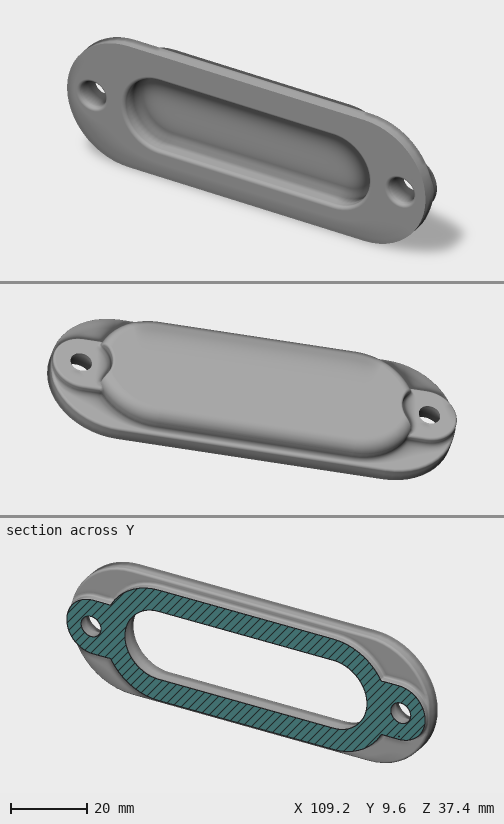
import cadquery as cq

length = 109.2
height = 37.4
plate_thickness = 4.0
small_round = 0.7
base_round = 0.8

body_straight = 53.1
body_radius = 16.6
body_depth = 9.6
boss_depth = 6.5
body_back_round = body_depth - boss_depth

boss_offset = 46.3
boss_radius = 8.2

hole_offset = 47.0
hole_mouth_radius = 4.0
hole_taper = 10.0
hole_mouth_round = 0.9
clearance_radius = 7.9

recess_radius = 10.7
recess_depth = 6.8
recess_floor_round = 2.0
recess_mouth_round = 1.0

SIDES = (-1, 1)
MARGIN = 0.1


def facing_back(y=0.0):
    """Workplane at depth y whose extrusions run toward +Y."""
    return cq.Workplane("XZ", origin=(0, y, 0)).transformed(rotate=(180, 0, 0))


def stadium(straight, radius, depth):
    """Round-ended block with its front face on Y = 0."""
    return facing_back().slot2D(straight + 2 * radius, 2 * radius).extrude(depth)


def edges_within(shape, low, high):
    """Edges lying wholly inside the box between two corners."""
    low = tuple(value - MARGIN for value in low)
    high = tuple(value + MARGIN for value in high)
    return shape.edges(cq.selectors.BoxSelector(low, high, boundingbox=True))


def edges_near_end(shape, side, inner_x, outer_x, front_y, back_y):
    """Edges around one boss, between two distances from the middle and two depths."""
    near_x, far_x = sorted((side * inner_x, side * outer_x))
    return edges_within(shape, (near_x, front_y, -boss_radius), (far_x, back_y, boss_radius))


def make_raised_part():
    """Body with its two bosses, its edges rounded, before it is blended into the plate."""
    base = stadium(body_straight, body_radius, boss_depth)
    base = base.union(stadium(2 * boss_offset, boss_radius, boss_depth))

    body = stadium(body_straight, body_radius, body_depth)
    body = body.faces(">Y").edges().fillet(body_back_round)
    raised = base.union(body)
    for side in SIDES:
        clearance = facing_back(boss_depth).circle(clearance_radius).extrude(body_depth)
        raised = raised.cut(clearance.translate((side * hole_offset, 0, 0)))

    corner_x = body_straight / 2 + (body_radius**2 - boss_radius**2) ** 0.5
    clearance_x = hole_offset - clearance_radius
    boss_end = boss_offset + boss_radius
    sharp = []
    for side in SIDES:
        rims = edges_near_end(raised, side, clearance_x, boss_end, boss_depth, body_depth)
        corners = edges_near_end(raised, side, corner_x, corner_x, 0, boss_depth)
        sharp += rims.vals() + corners.vals()
    return raised.newObject(sharp).fillet(small_round)


def blend_into_plate(raised):
    """Join the raised part to the plate with a hollow round, then round the plate's rim."""
    slab_excess = 4 * boss_radius
    slab = cq.Workplane("XY").box(length + slab_excess, plate_thickness, height + slab_excess)
    part = slab.translate((0, plate_thickness / 2, 0)).union(raised)
    seam = edges_within(
        part,
        (-length / 2, plate_thickness, -height / 2),
        (length / 2, plate_thickness, height / 2),
    )
    part = seam.fillet(base_round)

    plate_outline = stadium(length - height, height / 2, body_depth)
    part = part.intersect(plate_outline)
    outer_walls = part.faces("<Y").edges().ancestors("Face")
    rim = edges_within(
        outer_walls,
        (-length / 2, plate_thickness, -height / 2),
        (length / 2, body_depth, height / 2),
    )
    return rim.fillet(small_round)


def cut_screw_hole(part, side):
    """Hole that narrows toward the back, with a rounded mouth."""
    hole = facing_back().circle(hole_mouth_radius).extrude(body_depth, taper=hole_taper)
    part = part.cut(hole.translate((side * hole_offset, 0, 0)))
    mouth = edges_within(
        part,
        (side * hole_offset - hole_mouth_radius, 0, -hole_mouth_radius),
        (side * hole_offset + hole_mouth_radius, 0, hole_mouth_radius),
    )
    return mouth.fillet(hole_mouth_round)


def cut_recess(part):
    """Blind finger recess with a rounded floor and a rounded mouth."""
    recess = stadium(body_straight, recess_radius, recess_depth)
    part = part.cut(recess.faces(">Y").edges().fillet(recess_floor_round))
    reach = body_straight / 2 + recess_radius
    mouth = edges_within(part, (-reach, 0, -recess_radius), (reach, 0, recess_radius))
    return mouth.fillet(recess_mouth_round)


result = blend_into_plate(make_raised_part())
for side in SIDES:
    result = cut_screw_hole(result, side)
result = cut_recess(result)